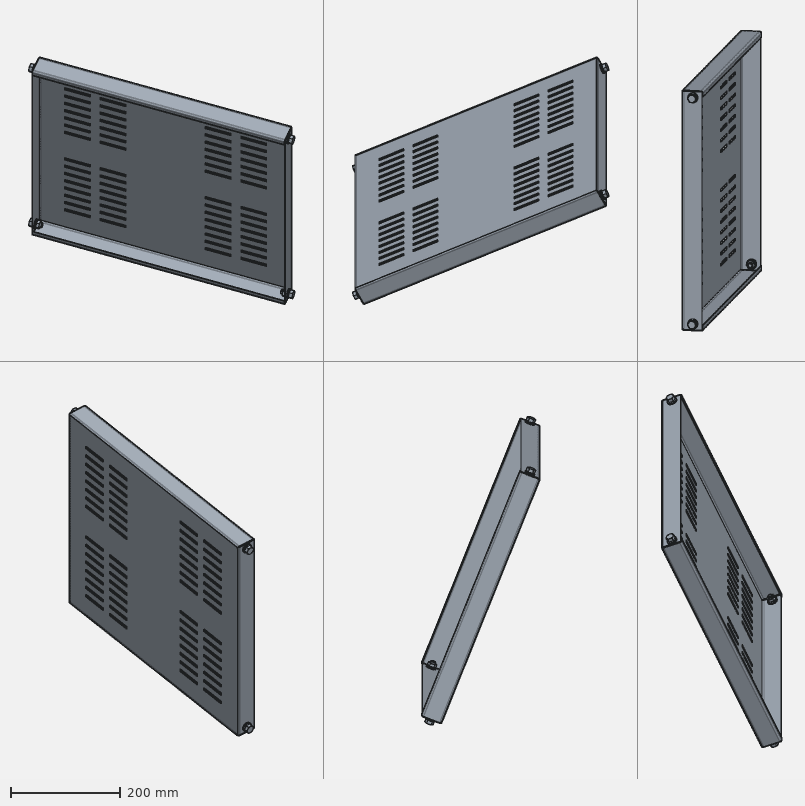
import cadquery as cq
import math

OVERALL_WIDTH = 515.0
TRAY_WIDTH = 495.5
TRAY_DEPTH = 40.0
TRAY_HEIGHT = 453.0

SHEET = 1.5
BEND_RADIUS = 4.0
INNER_RADIUS = BEND_RADIUS - SHEET
LIP_HEIGHT = 11.5
CORNER_GAP = 0.5

BACK_Y = TRAY_DEPTH / 2
HALF_WIDTH = TRAY_WIDTH / 2
HALF_HEIGHT = TRAY_HEIGHT / 2
SIDE_HEIGHT = TRAY_HEIGHT - 2 * (SHEET + CORNER_GAP)
FLANGE_LENGTH = TRAY_WIDTH - 2 * SHEET
SIDE_DEPTH = TRAY_DEPTH - SHEET - CORNER_GAP

SLOT_LENGTH = 50.0
SLOT_WIDTH = 4.5
SLOT_ROWS = 8
BANK_SPAN = 140.0
ROW_PITCH = BANK_SPAN / (SLOT_ROWS - 1)
COLUMN_PITCH = 69.5
BANK_X = 137.5
BANK_Z = 106.5

BOLT_EDGE_DISTANCE = 13.5
BOLT_Z = HALF_HEIGHT - BOLT_EDGE_DISTANCE
BOLT_Y = -1.0
SHANK_DIAMETER = 10.0
HEX_ACROSS_FLATS = 14.5
HEX_ACROSS_CORNERS = HEX_ACROSS_FLATS / math.cos(math.pi / 6)
FLANGE_DIAMETER = 18.5
RIM_THICKNESS = 1.5
CONE_HEIGHT = 1.5
HEAD_FACE_DIAMETER = 14.0
HEAD_CHAMFER_ANGLE = 30.0
BOLT_PROTRUSION = (OVERALL_WIDTH - TRAY_WIDTH) / 2
NUT_THICKNESS = 8.0
TIP_LENGTH = 4.5
TIP_CHAMFER = 1.5
SHANK_LENGTH = SHEET + NUT_THICKNESS + TIP_LENGTH


def block(width, depth, height, back_y):
    """Box centred in X and Z whose back face lies at back_y."""
    return cq.Workplane("XY").box(width, depth, height).translate((0, back_y - depth / 2, 0))


def top_and_bottom_channel():
    """Back panel with its top and bottom flanges, each ending in an inward lip."""
    outer = block(FLANGE_LENGTH, TRAY_DEPTH, TRAY_HEIGHT, BACK_Y)
    outer = outer.edges("|X").fillet(BEND_RADIUS)
    cavity = block(FLANGE_LENGTH, TRAY_DEPTH - 2 * SHEET, TRAY_HEIGHT - 2 * SHEET, BACK_Y - SHEET)
    cavity = cavity.edges("|X").fillet(INNER_RADIUS)
    mouth = block(FLANGE_LENGTH, TRAY_DEPTH / 2, TRAY_HEIGHT - 2 * LIP_HEIGHT, 0)
    return outer.cut(cavity).cut(mouth)


def side_channel():
    """Back panel with its two plain side walls, which stop just behind the lips."""
    outer = block(TRAY_WIDTH, SIDE_DEPTH, SIDE_HEIGHT, BACK_Y)
    outer = outer.edges("|Z and >Y").fillet(BEND_RADIUS)
    cavity = block(TRAY_WIDTH - 2 * SHEET, SIDE_DEPTH - SHEET, SIDE_HEIGHT, BACK_Y - SHEET)
    cavity = cavity.edges("|Z and >Y").fillet(INNER_RADIUS)
    return outer.cut(cavity)


def vent_slots():
    """Cutters for the vent slots in the back panel."""
    row_offsets = [(row - (SLOT_ROWS - 1) / 2) * ROW_PITCH for row in range(SLOT_ROWS)]
    column_offsets = [-COLUMN_PITCH / 2, COLUMN_PITCH / 2]
    centres = [
        (bank_x + column_offset, bank_z + row_offset)
        for bank_x in (-BANK_X, BANK_X)
        for bank_z in (-BANK_Z, BANK_Z)
        for column_offset in column_offsets
        for row_offset in row_offsets
    ]
    slots = cq.Workplane("XZ", origin=(0, BACK_Y, 0)).pushPoints(centres)
    return slots.rect(SLOT_LENGTH, SLOT_WIDTH).extrude(SHEET)


def bolt_holes():
    """Cutters for the holes through both side walls."""
    holes = cq.Workplane("YZ", origin=(-HALF_WIDTH, 0, 0))
    holes = holes.pushPoints([(BOLT_Y, -BOLT_Z), (BOLT_Y, BOLT_Z)])
    return holes.circle(SHANK_DIAMETER / 2).extrude(TRAY_WIDTH)


def make_tray():
    tray = top_and_bottom_channel().union(side_channel())
    return tray.cut(vent_slots()).cut(bolt_holes())


def make_hexagon(x_start, length):
    """Hexagonal prism along X with its corners pointing along Y."""
    return cq.Workplane("YZ", origin=(x_start, 0, 0)).polygon(6, HEX_ACROSS_CORNERS).extrude(length)


def round_bar(points):
    """Solid of revolution about the X axis from its (x, radius) profile points."""
    return cq.Workplane("XY").polyline(points).close().revolve(360, (0, 0, 0), (1, 0, 0))


def make_flange():
    """Conical flange that grows towards +X and has its flat underside at X = 0."""
    rim_radius = FLANGE_DIAMETER / 2
    return round_bar([
        (-RIM_THICKNESS - CONE_HEIGHT, 0),
        (-RIM_THICKNESS - CONE_HEIGHT, HEX_ACROSS_FLATS / 2),
        (-RIM_THICKNESS, rim_radius),
        (0, rim_radius),
        (0, 0),
    ])


def make_bolt():
    """Flanged hexagon bolt along +X, with the underside of its flange at X = 0."""
    face_radius = HEAD_FACE_DIAMETER / 2
    corner_radius = HEX_ACROSS_CORNERS / 2
    chamfer_length = (corner_radius - face_radius) * math.tan(math.radians(HEAD_CHAMFER_ANGLE))
    head_envelope = round_bar([
        (-BOLT_PROTRUSION, 0),
        (-BOLT_PROTRUSION, face_radius),
        (-BOLT_PROTRUSION + chamfer_length, corner_radius),
        (0, corner_radius),
        (0, 0),
    ])
    head = make_hexagon(-BOLT_PROTRUSION, BOLT_PROTRUSION).intersect(head_envelope)
    flange = make_flange()
    shank = cq.Workplane("YZ").circle(SHANK_DIAMETER / 2).extrude(SHANK_LENGTH)
    shank = shank.faces(">X").chamfer(TIP_CHAMFER)
    return head.union(flange).union(shank)


def make_nut():
    """Flanged hexagon nut on the same axis, seated on the inner face of the side wall."""
    bore = cq.Workplane("YZ", origin=(SHEET, 0, 0)).circle(SHANK_DIAMETER / 2).extrude(NUT_THICKNESS)
    flange = make_flange().mirror("YZ").translate((SHEET, 0, 0))
    return make_hexagon(SHEET, NUT_THICKNESS).union(flange).cut(bore)


def place_on_wall(body, side_x, side_z):
    """Move a fastener part to a corner; on the +X wall it is turned to face inward."""
    turn = 0 if side_x < 0 else 180
    turned = body.rotate((0, 0, 0), (0, 0, 1), turn)
    return turned.translate((side_x * HALF_WIDTH, BOLT_Y, side_z * BOLT_Z))


tray = make_tray()
bolts = []
nuts = []
for side_x in (-1, 1):
    for side_z in (-1, 1):
        bolts.append(place_on_wall(make_bolt(), side_x, side_z).val())
        nuts.append(place_on_wall(make_nut(), side_x, side_z).val())

result = cq.Compound.makeCompound([tray.val(), *bolts, *nuts])